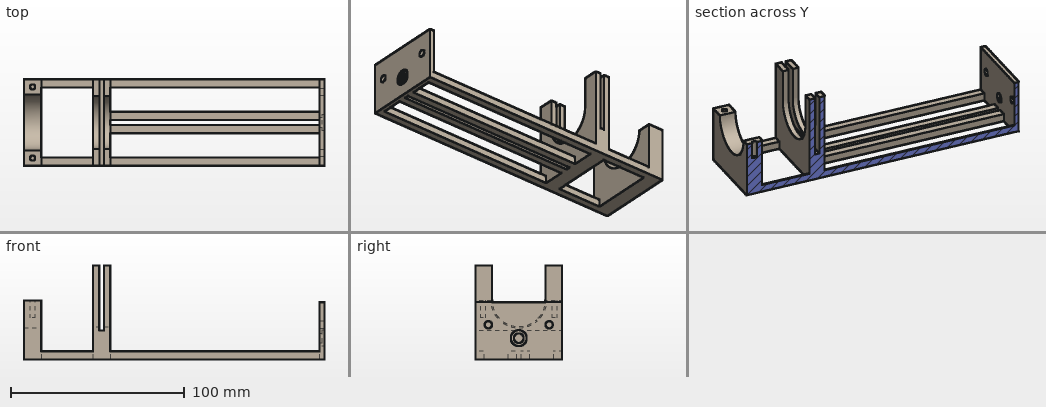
import cadquery as cq

length = 173.0
width = 50.0
height = 54.1

rail_width = 5.0
rail_height = 4.8
inner_rail_gap = 2.6
outer_rail_offset = (width - rail_width) / 2
inner_rail_offset = (inner_rail_gap + rail_width) / 2

cradle_length = 10.0
axis_height = 34.1
front_seat_radius = 16.0
screw_hole_diameter = 3.0
screw_hole_depth = 10.0
screw_hole_spacing = 41.0

tall_cradle_start = 39.7
tall_cradle_end = tall_cradle_start + cradle_length
tall_seat_radius = 15.25
slot_width = 2.6
slot_floor = 16.8

plate_thickness = 3.0
plate_height = 33.0
plate_start = length - plate_thickness
plate_side_hole_diameter = 4.2
plate_side_hole_spacing = 35.0
plate_side_hole_height = 20.0
plate_center_hole_diameter = 5.6
plate_center_hole_height = 12.3
plate_counterbore_diameter = 9.2
plate_counterbore_depth = 1.5


def crosswise_box(start, end, bottom, top, box_width=width, center_y=0.0):
    """Box between two X stations and two heights, centred on center_y."""
    box = cq.Workplane("XY").box(end - start, box_width, top - bottom, centered=(False, True, False))
    return box.translate((start, center_y, bottom))


def bore_along_x(start, depth, diameter, center_y, center_z):
    """Cylinder running in +X from the given station."""
    return cq.Workplane("YZ", origin=(start, center_y, center_z)).circle(diameter / 2).extrude(depth)


def cradle(start, top, seat_radius):
    """Full-width block with a round seat, open straight up to its top."""
    end = start + cradle_length
    block = crosswise_box(start, end, 0, top)
    block = block.cut(bore_along_x(start, cradle_length, 2 * seat_radius, 0, axis_height))
    if top > axis_height:
        block = block.cut(crosswise_box(start, end, axis_height, top, 2 * seat_radius))
    return block


def front_cradle():
    """Low cradle with a vertical screw hole in each shoulder."""
    block = cradle(0, axis_height, front_seat_radius)
    holes = (
        cq.Workplane("XY", origin=(cradle_length / 2, 0, axis_height))
        .rarray(1, screw_hole_spacing, 1, 2)
        .circle(screw_hole_diameter / 2)
        .extrude(-screw_hole_depth)
    )
    return block.cut(holes)


def tall_cradle():
    """Tall cradle with a full-width slot that splits it into two prongs."""
    block = cradle(tall_cradle_start, height, tall_seat_radius)
    slot_start = (tall_cradle_start + tall_cradle_end - slot_width) / 2
    return block.cut(crosswise_box(slot_start, slot_start + slot_width, slot_floor, height))


def end_plate():
    """Upright plate with two side holes and a low centre hole counterbored from the outer face."""
    plate = crosswise_box(plate_start, length, 0, plate_height)
    for side in (-1, 1):
        plate = plate.cut(
            bore_along_x(
                plate_start,
                plate_thickness,
                plate_side_hole_diameter,
                side * plate_side_hole_spacing / 2,
                plate_side_hole_height,
            )
        )
    center_hole = bore_along_x(
        plate_start, plate_thickness, plate_center_hole_diameter, 0, plate_center_hole_height
    )
    counterbore = bore_along_x(
        length - plate_counterbore_depth,
        plate_counterbore_depth,
        plate_counterbore_diameter,
        0,
        plate_center_hole_height,
    )
    return plate.cut(center_hole).cut(counterbore)


def rail(start, center_y):
    """Rail from the given X station to the end of the part."""
    return crosswise_box(start, length, 0, rail_height, rail_width, center_y)


result = front_cradle().union(tall_cradle())
for side in (-1, 1):
    result = result.union(rail(0, side * outer_rail_offset))
    result = result.union(rail(tall_cradle_start, side * inner_rail_offset))
result = result.union(end_plate())